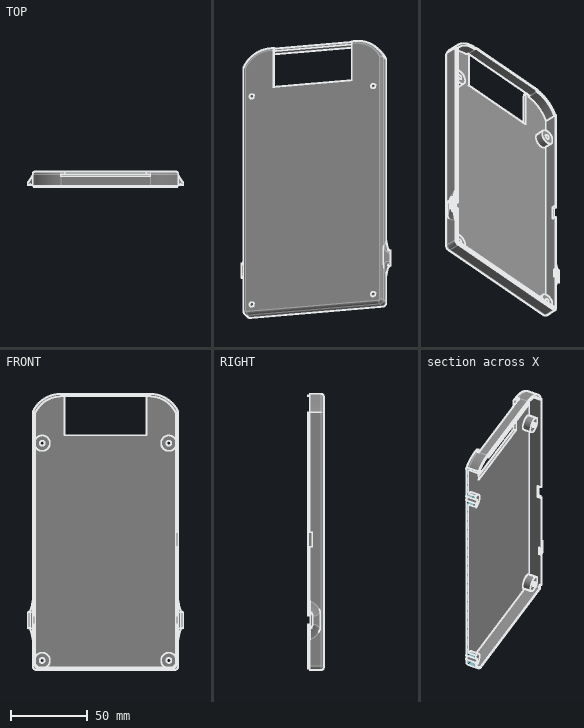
import cadquery as cq

height = 179.9
body_width = 95.0
depth = 10.5
wall = 1.8
floor_thickness = 2.0
back_fillet = 2.0

shoulder_drop = 12.0
top_flat_half = 29.0
bottom_radius = 2.7

lip_height = 1.0
lip_thickness = wall / 2

window_width = 53.2
window_bottom = 152.9
top_wall_back = depth - 3.2

boss_diameter = 10.0
boss_hole = 3.0
boss_front = 2.9
boss_x = 41.2
boss_heights = (6.3, 147.7)

wing_z = 32.5
wing_front = 1.5
wing_span = 101.3
wing_root_back = 8.0
wing_tip_back = 3.0
wing_root_back_half = 5.8
wing_tip_back_half = 2.7
wing_root_front_half = 12.5
wing_tip_front_half = 5.2
wing_back_power = 1.2
wing_side_power = 3
wing_bow = 1.1
wing_shares = (0, 0.2, 0.5, 1)
wing_pocket_reach = 1.6
wing_pocket_depth = 1.0

latch_notch_height = 5.4
latch_notch_floor = 1.6
side_notch_bottom = 80.2
side_notch_top = 89.8
side_notch_floor = 2.7

half_width = body_width / 2
inner_half = half_width - wall
floor_front = depth - floor_thickness
wing_reach = wing_span / 2 - half_width
shoulder_run = half_width - top_flat_half
shoulder_radius = (shoulder_run**2 + shoulder_drop**2) / (2 * shoulder_drop)


def block(x0, x1, y0, y1, z0, z1):
    """Box between two opposite corners."""
    return cq.Workplane("XY").box(x1 - x0, y1 - y0, z1 - z0, centered=False).translate((x0, y0, z0))


def outline():
    """Closed outer outline in the XZ plane."""
    shoulder_z = height - shoulder_drop
    low = bottom_radius
    return (
        cq.Workplane("XZ")
        .moveTo(-half_width + low, 0)
        .lineTo(half_width - low, 0)
        .radiusArc((half_width, low), -low)
        .lineTo(half_width, shoulder_z)
        .radiusArc((top_flat_half, height), -shoulder_radius)
        .lineTo(-top_flat_half, height)
        .radiusArc((-half_width, shoulder_z), -shoulder_radius)
        .lineTo(-half_width, low)
        .radiusArc((-half_width + low, 0), -low)
        .close()
    )


def slab(inset, y0, y1):
    """Outline shrunk by an inset and filled from y0 to y1."""
    shape = outline()
    if inset > 0:
        shape = shape.offset2D(-inset)
    return shape.extrude(-(y1 - y0)).translate((0, y0, 0))


def make_shell():
    """Tray with its back edge rounded, open at the front."""
    shell = slab(0, lip_height, depth).faces(">Y").edges().fillet(back_fillet)
    return shell.cut(slab(wall, 0, floor_front))


def make_lip():
    """Lip on the straight stretches of the rim; the rounded corners have none."""
    ring = slab(lip_thickness, 0, lip_height).cut(slab(wall, 0, lip_height))
    sides = block(-half_width, half_width, 0, lip_height, bottom_radius, height - shoulder_drop)
    bottom_half = half_width - bottom_radius
    bottom = block(-bottom_half, bottom_half, 0, lip_height, 0, bottom_radius)
    top = block(-top_flat_half, top_flat_half, 0, lip_height, height - wall, height)
    return ring.intersect(sides.union(bottom).union(top))


def flare(root, tip, share, power):
    """Size that falls from root to tip along a concave curve."""
    return tip + (root - tip) * (1 - share) ** power


def wing_section(share):
    """Wire of the wing section at a share of its reach: short back edge, long front edge, bowed sides."""
    back = flare(wing_root_back, wing_tip_back, share, wing_back_power)
    back_half = flare(wing_root_back_half, wing_tip_back_half, share, wing_side_power)
    front_half = flare(wing_root_front_half, wing_tip_front_half, share, wing_side_power)
    bow_y = wing_bow * (wing_front + back) / 2
    bow_half = wing_bow * (front_half + back_half) / 2
    origin = (half_width + share * wing_reach, 0, wing_z)
    plane = cq.Plane(origin=origin, xDir=(0, 1, 0), normal=(1, 0, 0))
    return (
        cq.Workplane(plane)
        .moveTo(wing_front, -front_half)
        .threePointArc((bow_y, -bow_half), (back, -back_half))
        .lineTo(back, back_half)
        .threePointArc((bow_y, bow_half), (wing_front, front_half))
        .close()
        .val()
    )


def make_wing():
    """Flared grip on the +X wall, with a pocket in its front face."""
    sections = [wing_section(share) for share in wing_shares]
    grip = cq.Workplane(obj=cq.Solid.makeLoft(sections))
    pocket = block(
        half_width,
        half_width + wing_pocket_reach,
        wing_front,
        wing_front + wing_pocket_depth,
        wing_z - wing_tip_front_half,
        wing_z + wing_tip_front_half,
    )
    return grip.cut(pocket)


def rod(x, z, diameter, y0, y1):
    """Cylinder along Y."""
    return cq.Workplane("XZ").center(x, z).circle(diameter / 2).extrude(-(y1 - y0)).translate((0, y0, 0))


body = make_shell().union(make_lip())

wing = make_wing()
body = body.union(wing).union(wing.mirror("YZ"))

boss_places = [(x, z) for x in (-boss_x, boss_x) for z in boss_heights]
for x, z in boss_places:
    body = body.union(rod(x, z, boss_diameter, boss_front, floor_front))
for x, z in boss_places:
    body = body.cut(rod(x, z, boss_hole, 0, depth))

half_window = window_width / 2
body = body.cut(block(-half_window, half_window, floor_front, depth, window_bottom, height))
body = body.cut(
    block(-top_flat_half, top_flat_half, top_wall_back, depth - back_fillet, height - wall, height)
)

latch_low = wing_z - latch_notch_height / 2
latch_high = wing_z + latch_notch_height / 2
body = body.cut(block(inner_half, half_width, 0, latch_notch_floor, latch_low, latch_high))
body = body.cut(block(-half_width, -inner_half, 0, latch_notch_floor, latch_low, latch_high))
body = body.cut(block(inner_half, half_width, 0, side_notch_floor, side_notch_bottom, side_notch_top))

result = body